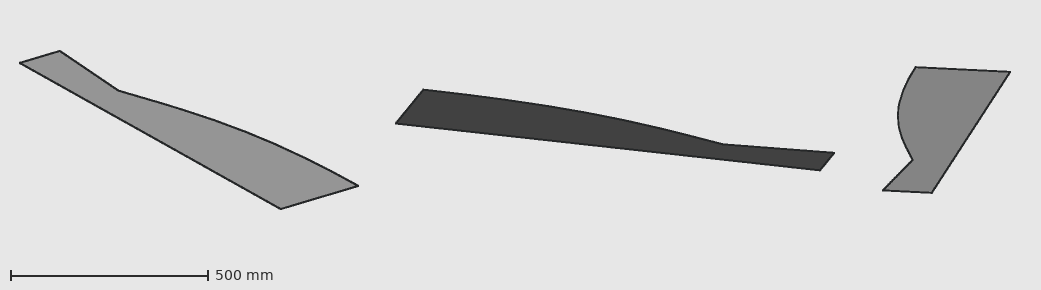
import cadquery as cq
import math

thickness = 1.0
total_length = 1123.7
throat_x = 287.3

exit_radius = 243.92
inlet_radius = 126.2
convergence_angle = 5.0
divergence_angle = 18.3

throat_handle = 210.0
exit_handle = 438.0

throat_radius = inlet_radius - throat_x * math.tan(math.radians(convergence_angle))
throat_handle_rise = throat_handle * math.tan(math.radians(divergence_angle))

diverging_wall = [
    (throat_x, throat_radius),
    (throat_x + throat_handle, throat_radius + throat_handle_rise),
    (total_length - exit_handle, exit_radius),
    (total_length, exit_radius),
]

result = (
    cq.Workplane("XY")
    .moveTo(0, 0)
    .lineTo(0, inlet_radius)
    .lineTo(throat_x, throat_radius)
    .bezier(diverging_wall)
    .lineTo(total_length, 0)
    .close()
    .extrude(thickness)
)